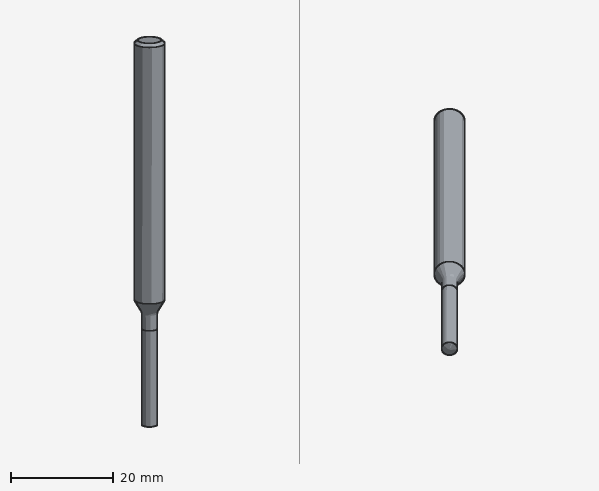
import cadquery as cq
import math

total_length = 79.0
shank_diameter = 6.0
cutter_diameter = 3.1

cutter_top = 20.15
shoulder_top = 26.1

shoulder_half_angle = 30.0
neck_fillet_radius = 1.2
tip_angle = 140.0
end_chamfer_width = 0.7
end_chamfer_height = 0.6

shank_radius = shank_diameter / 2
cutter_radius = cutter_diameter / 2
shoulder_height = (shank_radius - cutter_radius) / math.tan(math.radians(shoulder_half_angle))
neck_top = shoulder_top - shoulder_height
tip_height = cutter_radius / math.tan(math.radians(tip_angle / 2))


def revolve_about_z(profile):
    """Revolve a closed outline of (radius, height) points about the Z axis."""
    return cq.Workplane("XZ").polyline(profile).close().revolve(360, (0, 0), (0, 1))


def make_cutter():
    """Cylindrical cutting end with a conical point."""
    return revolve_about_z([
        (0, 0),
        (cutter_radius, tip_height),
        (cutter_radius, cutter_top),
        (0, cutter_top),
    ])


def make_shank():
    """Shank with a chamfered end, a conical shoulder and a neck as wide as the cutter."""
    body = revolve_about_z([
        (0, cutter_top),
        (cutter_radius, cutter_top),
        (cutter_radius, neck_top),
        (shank_radius, shoulder_top),
        (shank_radius, total_length - end_chamfer_height),
        (shank_radius - end_chamfer_width, total_length),
        (0, total_length),
    ])
    neck_corner = cq.selectors.NearestToPointSelector((0, 0, neck_top))
    return body.edges("%CIRCLE").edges(neck_corner).fillet(neck_fillet_radius)


cutter = make_cutter()
shank = make_shank()

result = cq.Compound.makeCompound([cutter.val(), shank.val()])